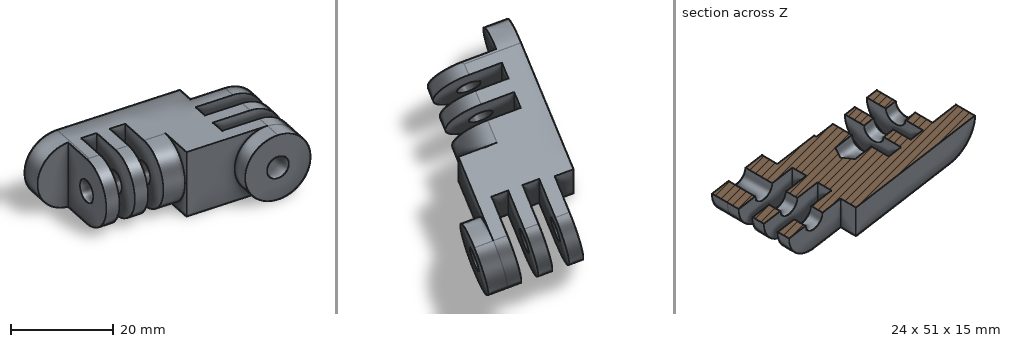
import cadquery as cq
import math

length = 51.0
height = 15.0
end_radius = height / 2
bore_diameter = 5.0

finger = 3.0
gap = 3.5
pitch = finger + gap
hinge_width = 3 * finger + 2 * gap

plate_thickness = 4.0
knob_thickness = 4.0
width = plate_thickness + hinge_width + knob_thickness
plate_x = -width / 2
body_x = plate_x + plate_thickness
knob_x = body_x + hinge_width
front_slot_floor_x = body_x + 1.0
front_hinge_x = plate_x + 12.0

back_y = length / 2
back_hinge_y = back_y - end_radius
back_slot_floor_y = back_y - 16.0
plate_back_y = back_y - 15.4
step_y = back_y - 26.0
front_face_y = back_y - 44.0

bore_floor_y = step_y
drill_point_angle = 118.0


def box(x0, x1, y0, y1):
    """Full-height block between two X and two Y stations."""
    return cq.Workplane("XY").box(x1 - x0, y1 - y0, height).translate(
        ((x0 + x1) / 2, (y0 + y1) / 2, 0)
    )


def cylinder_x(x0, x1, y, radius):
    return cq.Workplane("YZ", origin=(x0, y, 0)).circle(radius).extrude(x1 - x0)


def cylinder_y(y0, y1, x, radius):
    """Cylinder along Y, running from y0 back to y1."""
    return cq.Workplane("XZ", origin=(x, y1, 0)).circle(radius).extrude(y1 - y0)


def make_blank():
    """Plate, main body, front hinge and knob, all within one rounded-end side profile."""
    plate = box(plate_x, body_x, -back_y, plate_back_y)
    rear_body = box(body_x, knob_x, step_y, back_y)
    front_wall = box(body_x, front_slot_floor_x, -back_y, step_y)
    hinge_arm = box(front_slot_floor_x, front_hinge_x, front_face_y, step_y)
    hinge_end = cylinder_y(front_face_y, step_y, front_hinge_x, end_radius)
    knob = cylinder_x(knob_x, knob_x + knob_thickness, back_hinge_y, end_radius)
    blank = plate.union(rear_body).union(front_wall).union(hinge_arm).union(hinge_end).union(knob)
    profile = cq.Workplane("YZ", origin=(plate_x, 0, 0)).slot2D(length, height).extrude(width)
    return blank.intersect(profile)


def cut_finger_gaps(part):
    """Cut two gaps through each hinge, leaving its three fingers."""
    for index in range(2):
        offset = finger + index * pitch
        gap_x = body_x + offset
        gap_y = front_face_y + offset
        part = part.cut(box(gap_x, gap_x + gap, back_slot_floor_y, back_y))
        part = part.cut(box(front_slot_floor_x, knob_x, gap_y, gap_y + gap))
    return part


def make_drilled_bore():
    """Front hinge bore with a conical drill point at its blind end."""
    radius = bore_diameter / 2
    point_depth = radius / math.tan(math.radians(drill_point_angle / 2))
    bore = cylinder_y(front_face_y, bore_floor_y, front_hinge_x, radius)
    point = cq.Solid.makeCone(
        radius, 0, point_depth, cq.Vector(front_hinge_x, bore_floor_y, 0), cq.Vector(0, 1, 0)
    )
    return bore.union(cq.Workplane(point))


back_bore = cylinder_x(body_x, knob_x + knob_thickness, back_hinge_y, bore_diameter / 2)
result = cut_finger_gaps(make_blank()).cut(back_bore).cut(make_drilled_bore())